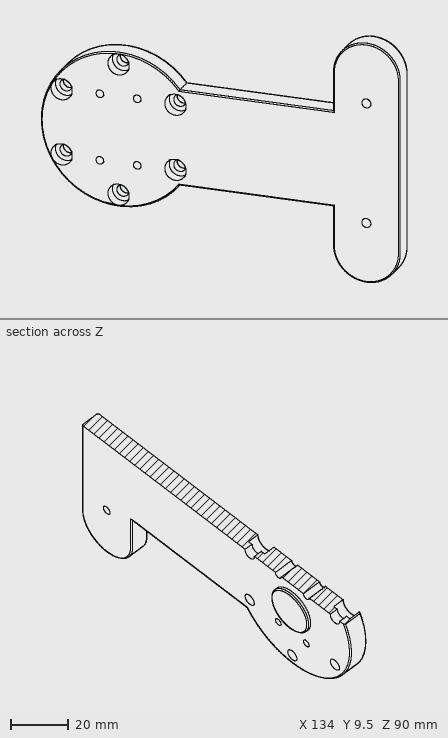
import cadquery as cq
import math

overall_length = 134.0
plate_thickness = 8.0
edge_chamfer = 0.5
head_diameter = 58.0
head_radius = head_diameter / 2
arm_width = 35.9
crossbar_width = 24.9
crossbar_length = 90.0

boss_diameter = 18.4
boss_height = 1.5
boss_chamfer = 0.5

screw_count = 6
screw_circle_radius = 24.5
screw_hole_diameter = 4.5
counterbore_diameter = 7.9
counterbore_depth = 4.5

head_pin_diameter = 2.8
head_pin_spacing_x = 14.0
head_pin_spacing_z = 25.0
crossbar_hole_diameter = 3.4
crossbar_hole_spacing = 45.0

crossbar_center_x = overall_length - head_radius - crossbar_width / 2


def back_facing_plane(y):
    """Sketch plane at the given Y, with local x = X, local y = -Z and normal +Y."""
    return cq.Workplane(cq.Plane(origin=(0, y, 0), xDir=(1, 0, 0), normal=(0, 1, 0)))


def make_plate():
    head = back_facing_plane(0).circle(head_radius).extrude(plate_thickness)
    arm = (
        back_facing_plane(0)
        .center(crossbar_center_x / 2, 0)
        .rect(crossbar_center_x, arm_width)
        .extrude(plate_thickness)
    )
    crossbar = (
        back_facing_plane(0)
        .center(crossbar_center_x, 0)
        .slot2D(crossbar_length, crossbar_width, 90)
        .extrude(plate_thickness)
    )
    plate = head.union(arm).union(crossbar).clean()
    return plate.faces("<Y or >Y").edges().chamfer(edge_chamfer)


def make_boss():
    boss = back_facing_plane(plate_thickness).circle(boss_diameter / 2).extrude(boss_height)
    return boss.faces(">Y").edges().chamfer(boss_chamfer)


def make_holes(points, diameter, depth):
    """Round cutters sunk from the front face to the given depth."""
    return back_facing_plane(0).pushPoints(points).circle(diameter / 2).extrude(depth)


def screw_points():
    angles = [math.radians(90 + 360 * i / screw_count) for i in range(screw_count)]
    return [(screw_circle_radius * math.cos(a), screw_circle_radius * math.sin(a)) for a in angles]


head_pin_points = [
    (side_x * head_pin_spacing_x / 2, side_z * head_pin_spacing_z / 2)
    for side_x in (-1, 1)
    for side_z in (-1, 1)
]
crossbar_hole_points = [(crossbar_center_x, side * crossbar_hole_spacing / 2) for side in (-1, 1)]
through_depth = plate_thickness + boss_height

result = (
    make_plate()
    .union(make_boss())
    .cut(make_holes(screw_points(), screw_hole_diameter, through_depth))
    .cut(make_holes(screw_points(), counterbore_diameter, counterbore_depth))
    .cut(make_holes(head_pin_points, head_pin_diameter, through_depth))
    .cut(make_holes(crossbar_hole_points, crossbar_hole_diameter, through_depth))
)